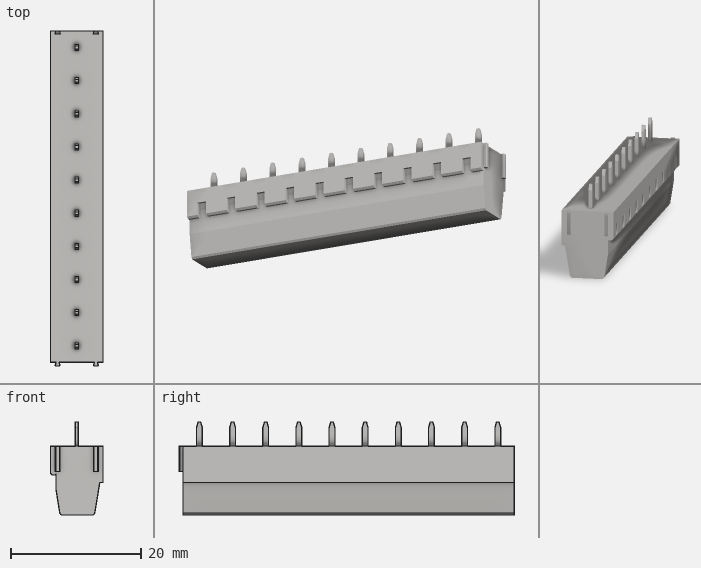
import cadquery as cq

PIN_COUNT = 10
TOTAL_LENGTH = 51.4
TONGUE_HEIGHT = 0.55
BODY_LENGTH = TOTAL_LENGTH - TONGUE_HEIGHT
PITCH = BODY_LENGTH / PIN_COUNT
TOTAL_HEIGHT = 14.3

BODY_WIDTH = 8.1
BODY_HEIGHT = 10.6
LIP_DEPTH = 0.85
LIP_Z = 6.1
LIP_CHAMFER = 0.3
LIP_INNER_RUN = 0.1
LIP_INNER_RISE = 0.2
LEFT_TAPER_Z = 3.85
SHOULDER_X = 7.6
SHOULDER_Z = 5.0
FOOT_LEFT = 1.45
FOOT_RIGHT = 6.85
FOOT_CHAMFER_RUN = 0.25
FOOT_CHAMFER_RISE = 0.3

PIN_X = BODY_WIDTH / 2
PIN_THICKNESS = 0.5
PIN_WIDTH = 0.9
PIN_TIP_HEIGHT = 0.85
PIN_TIP_WIDTH = 0.4

POCKET_WIDTH = 1.45
POCKET_DEPTH = 0.8
POCKET_ROOF_DEPTH = 0.5
POCKET_TOP = 8.4
POCKET_SLOPE_END = 7.45

DOVETAIL_XS = (1.15, 7.0)
DOVETAIL_BOTTOM = 6.7
TONGUE_NECK = 0.5
TONGUE_WIDTH = 0.75
TONGUE_TIP = 0.5
TONGUE_TIP_CHAMFER = 0.1
GROOVE_MOUTH = 0.55
GROOVE_WIDTH = 0.8
GROOVE_DEPTH = 0.45


def make_housing():
    """Constant cross-section extruded along the row of pins."""
    profile = [
        (FOOT_LEFT + FOOT_CHAMFER_RUN, 0),
        (FOOT_RIGHT - FOOT_CHAMFER_RUN, 0),
        (FOOT_RIGHT, FOOT_CHAMFER_RISE),
        (SHOULDER_X, SHOULDER_Z),
        (BODY_WIDTH, SHOULDER_Z),
        (BODY_WIDTH, BODY_HEIGHT),
        (0, BODY_HEIGHT),
        (0, LIP_Z + LIP_CHAMFER),
        (LIP_CHAMFER, LIP_Z),
        (LIP_DEPTH - LIP_INNER_RUN, LIP_Z),
        (LIP_DEPTH, LIP_Z + LIP_INNER_RISE),
        (LIP_DEPTH, LEFT_TAPER_Z),
        (FOOT_LEFT, FOOT_CHAMFER_RISE),
    ]
    return cq.Workplane("XZ").polyline(profile).close().extrude(-BODY_LENGTH)


def make_pocket(center_y):
    """Cutter with a sloped upper back wall, open at the front and the underside of the lip."""
    return (
        cq.Workplane("XZ", origin=(0, center_y, 0))
        .moveTo(0, LIP_Z)
        .lineTo(POCKET_DEPTH, LIP_Z)
        .lineTo(POCKET_DEPTH, POCKET_SLOPE_END)
        .lineTo(POCKET_ROOF_DEPTH, POCKET_TOP)
        .lineTo(0, POCKET_TOP)
        .close()
        .extrude(POCKET_WIDTH / 2, both=True)
    )


def make_pin(center_y):
    """Flat pin on the top face whose narrow sides taper towards a blunt tip."""
    half_width = PIN_WIDTH / 2
    half_tip = PIN_TIP_WIDTH / 2
    shoulder_z = TOTAL_HEIGHT - PIN_TIP_HEIGHT
    return (
        cq.Workplane("YZ", origin=(PIN_X, center_y, 0))
        .moveTo(-half_width, BODY_HEIGHT)
        .lineTo(half_width, BODY_HEIGHT)
        .lineTo(half_width, shoulder_z)
        .lineTo(half_tip, TOTAL_HEIGHT)
        .lineTo(-half_tip, TOTAL_HEIGHT)
        .lineTo(-half_width, shoulder_z)
        .close()
        .extrude(PIN_THICKNESS / 2, both=True)
    )


def make_dovetail(center_x, end_y, levels):
    """Upright bar, symmetric about center_x; levels are (half width, distance towards -Y)."""
    right_side = [(half_width, -distance) for half_width, distance in levels]
    left_side = [(-x, y) for x, y in reversed(right_side)]
    return (
        cq.Workplane("XY", origin=(center_x, end_y, DOVETAIL_BOTTOM))
        .polyline(right_side + left_side)
        .close()
        .extrude(BODY_HEIGHT - DOVETAIL_BOTTOM)
    )


TONGUE_LEVELS = [
    (TONGUE_NECK / 2, 0),
    (TONGUE_WIDTH / 2, TONGUE_HEIGHT - TONGUE_TIP_CHAMFER),
    (TONGUE_TIP / 2, TONGUE_HEIGHT),
]
GROOVE_LEVELS = [(GROOVE_MOUTH / 2, 0), (GROOVE_WIDTH / 2, GROOVE_DEPTH)]

result = make_housing()

for index in range(PIN_COUNT):
    station_y = (index + 0.5) * PITCH
    result = result.cut(make_pocket(station_y)).union(make_pin(station_y))

for dovetail_x in DOVETAIL_XS:
    result = result.cut(make_dovetail(dovetail_x, BODY_LENGTH, GROOVE_LEVELS))
    result = result.union(make_dovetail(dovetail_x, 0, TONGUE_LEVELS))